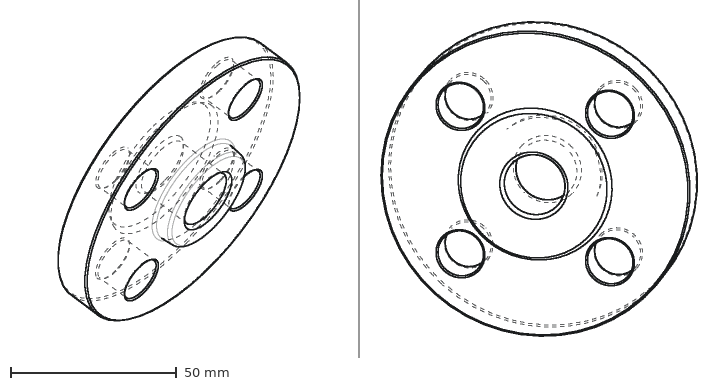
import cadquery as cq
import math


plate_diameter = 95.0
plate_thickness = 12.0
plate_edge_chamfer = 0.5

face_diameter = 45.0
face_base_diameter = 47.3
face_height = 2.0

overall_length = 20.0
hub_root_diameter = 35.0
hub_end_diameter = 34.0
hub_root_fillet = 1.0
hub_end_fillet = 1.0

bore_diameter = 18.63
bore_mouth_diameter = 20.955

bolt_count = 4
bolt_circle_diameter = 65.0
bolt_hole_diameter = 14.0
bolt_hole_chamfer = 0.5
first_bolt_angle = 45.0

plate_front = face_height
plate_back = plate_front + plate_thickness


def cylinder(radius, start, end, y=0.0, z=0.0):
    """Cylinder parallel to X between two places along the axis."""
    return cq.Workplane("YZ", origin=(start, y, z)).circle(radius).extrude(end - start)


def make_plate():
    plate = cylinder(plate_diameter / 2, plate_front, plate_back)
    return plate.edges().chamfer(plate_edge_chamfer)


def make_raised_face():
    """Conical sealing face that widens towards the plate."""
    cone = cq.Solid.makeCone(
        face_diameter / 2, face_base_diameter / 2, face_height, cq.Vector(0, 0, 0), cq.Vector(1, 0, 0)
    )
    return cq.Workplane(cone)


def make_hub():
    """Hub tapering away from the plate, with a concave root fillet and a rounded end."""
    root_radius = hub_root_diameter / 2
    end_radius = hub_end_diameter / 2
    taper_angle = math.atan((root_radius - end_radius) / (overall_length - plate_back))
    tangent_length = hub_root_fillet * math.tan(math.pi / 4 - taper_angle / 2)
    fillet_side_x = plate_back + tangent_length * math.cos(taper_angle)
    fillet_side_radius = root_radius - tangent_length * math.sin(taper_angle)
    fillet_plate_radius = root_radius + tangent_length
    profile = (
        cq.Workplane("XY")
        .moveTo(overall_length, 0)
        .lineTo(overall_length, end_radius)
        .lineTo(fillet_side_x, fillet_side_radius)
        .tangentArcPoint((plate_back, fillet_plate_radius), relative=False)
        .lineTo(plate_back, 0)
        .close()
    )
    hub = profile.revolve(360, (0, 0, 0), (1, 0, 0))
    return hub.faces(">X").edges().fillet(hub_end_fillet)


def make_chamfered_hole(diameter, start, end, chamfer, y=0.0, z=0.0):
    """Cutter for a through hole with a 45 degree chamfer at both mouths."""
    mouth_radius = diameter / 2 + chamfer
    cutter = cylinder(diameter / 2, start, end, y, z)
    for place, direction in ((start, 1), (end, -1)):
        mouth = cq.Solid.makeCone(
            mouth_radius, diameter / 2, chamfer, cq.Vector(place, y, z), cq.Vector(direction, 0, 0)
        )
        cutter = cutter.union(cq.Workplane(mouth))
    return cutter


def cut_bore(body):
    chamfer = (bore_mouth_diameter - bore_diameter) / 2
    return body.cut(make_chamfered_hole(bore_diameter, 0, overall_length, chamfer))


def cut_bolt_holes(body):
    for index in range(bolt_count):
        angle = math.radians(first_bolt_angle + index * 360 / bolt_count)
        y = bolt_circle_diameter / 2 * math.cos(angle)
        z = bolt_circle_diameter / 2 * math.sin(angle)
        hole = make_chamfered_hole(bolt_hole_diameter, plate_front, plate_back, bolt_hole_chamfer, y, z)
        body = body.cut(hole)
    return body


flange = make_plate().union(make_raised_face()).union(make_hub())
result = cut_bolt_holes(cut_bore(flange))